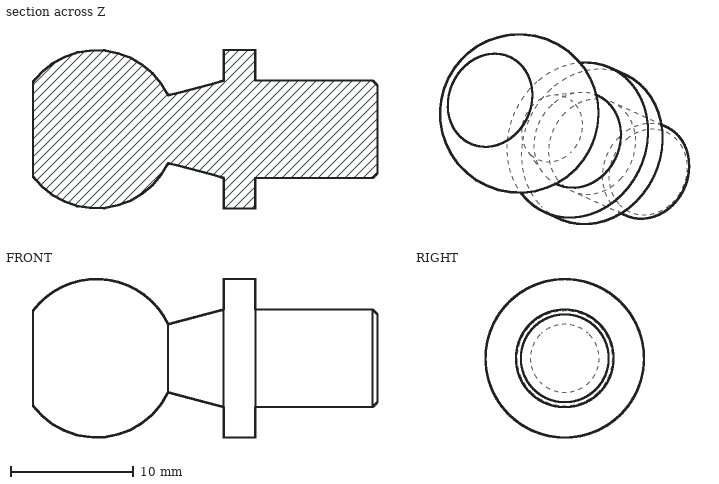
import cadquery as cq
import math

ball_diameter = 13.0
ball_flat_diameter = 7.8
neck_small_diameter = 5.6
neck_large_diameter = 8.0
flange_diameter = 13.0
flange_thickness = 2.6
flange_face_distance = 10.4
shank_diameter = 8.0
shank_length = 10.0
shank_chamfer = 0.4

ball_radius = ball_diameter / 2
flat_radius = ball_flat_diameter / 2
neck_small_radius = neck_small_diameter / 2
neck_large_radius = neck_large_diameter / 2
flange_radius = flange_diameter / 2
shank_radius = shank_diameter / 2

flat_x = -math.sqrt(ball_radius**2 - flat_radius**2)
neck_start_x = math.sqrt(ball_radius**2 - neck_small_radius**2)
flange_start_x = flange_face_distance
flange_end_x = flange_start_x + flange_thickness
shank_end_x = flange_end_x + shank_length


def make_ball_stud():
    """Revolve the half profile of the stud about the X axis."""
    profile = (
        cq.Workplane("XZ")
        .moveTo(flat_x, 0)
        .lineTo(flat_x, flat_radius)
        .threePointArc((0, ball_radius), (neck_start_x, neck_small_radius))
        .lineTo(flange_start_x, neck_large_radius)
        .lineTo(flange_start_x, flange_radius)
        .lineTo(flange_end_x, flange_radius)
        .lineTo(flange_end_x, shank_radius)
        .lineTo(shank_end_x - shank_chamfer, shank_radius)
        .lineTo(shank_end_x, shank_radius - shank_chamfer)
        .lineTo(shank_end_x, 0)
        .close()
    )
    return profile.revolve(360, (0, 0, 0), (1, 0, 0))


result = make_ball_stud()